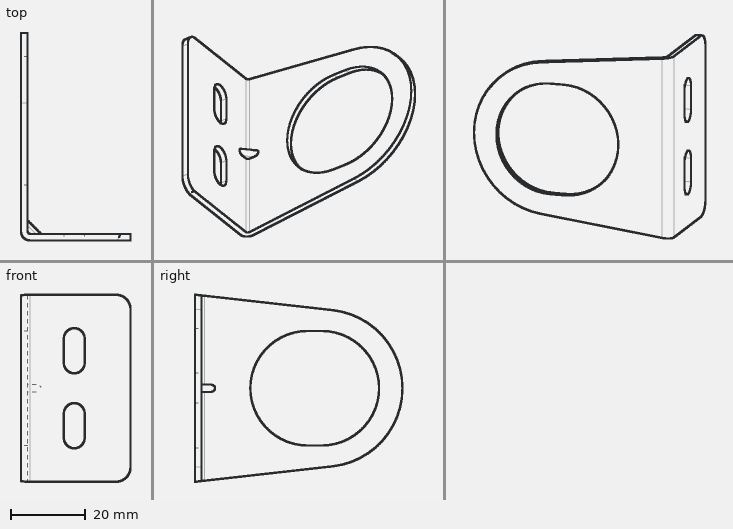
import cadquery as cq
import math

thickness = 1.8
bend_outer_radius = 2.5
bend_inner_radius = bend_outer_radius - thickness
flange_length = 29.3
plate_length = 55.42
height = 50.0

flange_corner_radius = 4.0
slot_width = 5.5
slot_length = 12.0
slot_spacing = 20.0
slot_x = 14.25

nose_radius = 21.0
opening_height = 30.5
opening_length = 34.3
opening_nose_margin = 6.3

rib_leg = 3.6
rib_width = 2.0


def make_bent_sheet():
    """L-shaped sheet with a rounded bend, extruded over the full height."""
    sheet = (
        cq.Workplane("XY")
        .workplane(offset=-height / 2)
        .lineTo(flange_length, 0)
        .lineTo(flange_length, thickness)
        .lineTo(thickness, thickness)
        .lineTo(thickness, plate_length)
        .lineTo(0, plate_length)
        .close()
        .extrude(height)
    )
    outer_bend = cq.selectors.NearestToPointSelector((0, 0, 0))
    inner_bend = cq.selectors.NearestToPointSelector((thickness, thickness, 0))
    sheet = sheet.edges("|Z").edges(outer_bend).fillet(bend_outer_radius)
    sheet = sheet.edges("|Z").edges(inner_bend).fillet(bend_inner_radius)
    return sheet.edges("|Y and >X").fillet(flange_corner_radius)


def make_taper_envelope():
    """Prism along X: tapered sides run from full height at Y = 0, tangent to the round nose."""
    nose_y = plate_length - nose_radius
    corner_distance = math.hypot(nose_y, height / 2)
    taper_angle = math.atan2(height / 2, nose_y) - math.asin(nose_radius / corner_distance)
    tangent_y = nose_y + nose_radius * math.sin(taper_angle)
    tangent_z = nose_radius * math.cos(taper_angle)
    return (
        cq.Workplane("YZ")
        .moveTo(0, -height / 2)
        .lineTo(tangent_y, -tangent_z)
        .threePointArc((plate_length, 0), (tangent_y, tangent_z))
        .lineTo(0, height / 2)
        .close()
        .extrude(flange_length)
    )


def make_opening():
    """Large rounded opening through the plate."""
    opening_y = plate_length - opening_nose_margin - opening_length / 2
    return (
        cq.Workplane("YZ")
        .center(opening_y, 0)
        .slot2D(opening_length, opening_height)
        .extrude(thickness)
    )


def make_mounting_slots():
    """Pair of upright slots through the flange."""
    return (
        cq.Workplane("XZ")
        .center(slot_x, 0)
        .rarray(1, slot_spacing, 1, 2)
        .slot2D(slot_length, slot_width, 90)
        .extrude(-thickness)
    )


def make_rib():
    """Round-nosed bar at 45 degrees across the bend, its ends buried at mid-thickness of the sheet."""
    bar_length = 2 * (rib_leg + thickness)
    diagonal = cq.Plane(origin=(0, 0, 0), xDir=(1, 1, 0), normal=(1, -1, 0))
    nose_distance = (2 * thickness + rib_leg) / math.sqrt(2)
    nose_centre = nose_distance - rib_width / 2
    bar = (
        cq.Workplane(diagonal)
        .moveTo(0, -rib_width / 2)
        .lineTo(nose_centre, -rib_width / 2)
        .threePointArc((nose_distance, 0), (nose_centre, rib_width / 2))
        .lineTo(0, rib_width / 2)
        .close()
        .extrude(bar_length / 2, both=True)
    )
    inside_bend = (
        cq.Workplane("XY")
        .box(bar_length, bar_length, rib_width, centered=(False, False, True))
        .translate((thickness / 2, thickness / 2, 0))
    )
    return bar.intersect(inside_bend)


bracket = make_bent_sheet().intersect(make_taper_envelope())
bracket = bracket.cut(make_opening()).cut(make_mounting_slots())
result = bracket.union(make_rib())